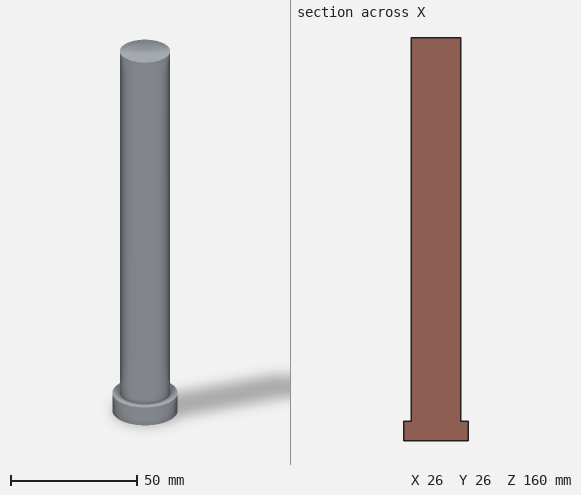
import cadquery as cq

total_length = 160.0
head_diameter = 26.0
head_height = 8.0
shank_diameter = 20.0
shank_length = total_length - head_height

head = cq.Workplane("XY").circle(head_diameter / 2).extrude(head_height)

result = head.faces(">Z").workplane().circle(shank_diameter / 2).extrude(shank_length)